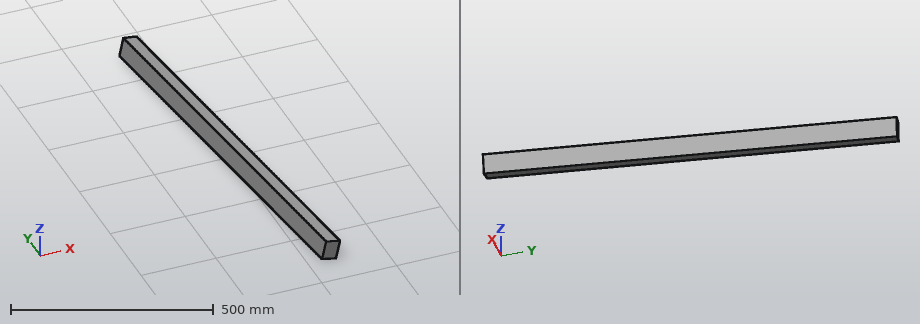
import cadquery as cq
import math

SPAN_Y = 1031.0
BAR_WIDTH = 39.0
BAR_HEIGHT = 51.0
ROLL_ANGLE = 13.0
PLAN_ANGLE = 6.7
NEAR_END_ANGLE = 3.0
FAR_END_ANGLE = 9.5
TRIM_SIZE = 309.0


def trim_block(side, angle):
    """Block beyond the origin along Y (side +1 or -1), its inner face turned by angle."""
    return (
        cq.Workplane("XY")
        .box(TRIM_SIZE, TRIM_SIZE, TRIM_SIZE)
        .translate((0, side * TRIM_SIZE / 2, 0))
        .rotate((0, 0, 0), (0, 0, 1), angle)
    )


blank_length = SPAN_Y + TRIM_SIZE / 2
blank = (
    cq.Workplane("XY")
    .box(BAR_WIDTH, blank_length, BAR_HEIGHT)
    .rotate((0, 0, 0), (0, 1, 0), ROLL_ANGLE)
    .rotate((0, 0, 0), (0, 0, 1), PLAN_ANGLE)
)


def bar_centre(y):
    """Point of the bar axis at the given Y."""
    return (-y * math.tan(math.radians(PLAN_ANGLE)), y, 0)


far_cut = blank.cut(trim_block(1, FAR_END_ANGLE).translate(bar_centre(SPAN_Y / 2)))
far_tip_y = far_cut.val().BoundingBox().ymax

roll = math.radians(ROLL_ANGLE)
plan_width = BAR_WIDTH * math.cos(roll) + BAR_HEIGHT * math.sin(roll)
plan_slope = math.tan(math.radians(PLAN_ANGLE))
near_slope = math.tan(math.radians(NEAR_END_ANGLE))
half_face_x = plan_width / (2 * math.cos(math.radians(PLAN_ANGLE)) * (1 + plan_slope * near_slope))
near_y = far_tip_y - SPAN_Y + half_face_x * near_slope
result = far_cut.cut(trim_block(-1, NEAR_END_ANGLE).translate(bar_centre(near_y)))